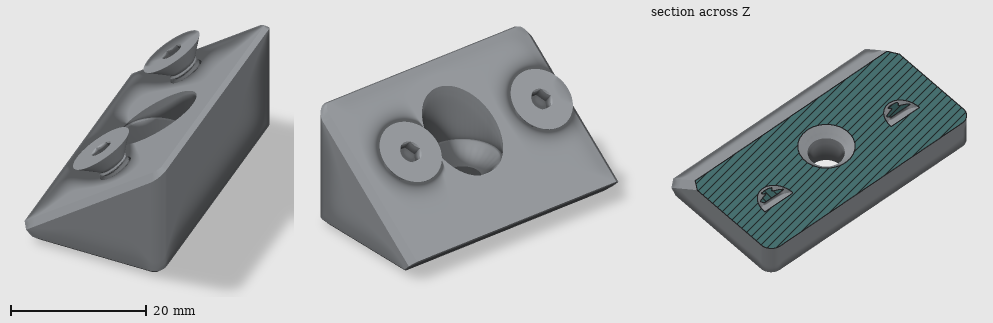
import cadquery as cq
import math

block_length = 40.0
block_depth = 22.7
block_height = 19.8
slope_angle = 38.0
edge_chamfer = 1.0
back_corner_radius = 2.0

slope_cos = math.cos(math.radians(slope_angle))
slope_sin = math.sin(math.radians(slope_angle))
slope_tan = slope_sin / slope_cos
sharp_top_height = block_height + edge_chamfer * slope_sin
nose_height = sharp_top_height - block_depth * slope_tan

clearance_diameter = 5.5
mount_x = 12.7
counterbore_diameter = 12.0
countersink_diameter = 11.2
counterbore_floor = 7.8

screw_spacing = 25.0
screw_x = 11.8
screw_standoff = 3.8
screw_length = 10.0
screw_hole_depth = 7.0
head_diameter = 10.0
head_rim = 0.05
thread_diameter = 5.0
core_diameter = 3.95
thread_pitch = 0.8
flank_angle = 30.0
crest_width = thread_pitch / 8
crest_depth = 2.95
shaft_top = 2.35
crest_radius = thread_diameter / 2
core_radius = core_diameter / 2
flank_steps = 8
socket_across_flats = 3.0
socket_depth = 2.0
socket_diameter = socket_across_flats / math.cos(math.radians(30))


def slope_plane(y):
    """Plane on the sloped face at a screw axis: local X uphill, local Z outward."""
    return cq.Plane(
        origin=(screw_x, y, nose_height + screw_x * slope_tan),
        xDir=(slope_cos, 0, slope_sin),
        normal=(-slope_sin, 0, slope_cos),
    )


def make_wedge():
    """Wedge with rounded back corners and chamfered sloped and bottom faces."""
    wedge = (
        cq.Workplane("XZ")
        .moveTo(nose_height, 0)
        .lineTo(block_depth, 0)
        .lineTo(block_depth, sharp_top_height)
        .lineTo(0, nose_height)
        .close()
        .extrude(block_length / 2, both=True)
    )
    wedge = wedge.edges("|Z").fillet(back_corner_radius)

    outward = cq.Vector(-slope_sin, 0, slope_cos)
    sloped_face = wedge.faces(cq.selectors.DirectionMinMaxSelector(outward, True))
    bottom_face = wedge.faces("<Z")
    chamfered_edges = [
        edge
        for edge in sloped_face.edges().vals() + bottom_face.edges().vals()
        if edge.Center().x > nose_height + edge_chamfer
    ]
    return wedge.newObject(chamfered_edges).chamfer(edge_chamfer)


def make_mount_hole():
    """Cutter for the vertical hole: clearance, 90 degree countersink, ledge, counterbore."""
    clearance_radius = clearance_diameter / 2
    countersink_radius = countersink_diameter / 2
    cone_bottom = counterbore_floor - (countersink_radius - clearance_radius)
    return (
        cq.Workplane("XZ")
        .lineTo(clearance_radius, 0)
        .lineTo(clearance_radius, cone_bottom)
        .lineTo(countersink_radius, counterbore_floor)
        .lineTo(counterbore_diameter / 2, counterbore_floor)
        .lineTo(counterbore_diameter / 2, block_height)
        .lineTo(0, block_height)
        .close()
        .revolve(360, (0, 0), (0, 1))
        .translate((mount_x, 0, 0))
    )


def flank_point(fraction):
    """Point on the upper flank in the shaft's cross-section, from crest (0) to root (1)."""
    radius = crest_radius + fraction * (core_radius - crest_radius)
    axial_offset = crest_width / 2 + (crest_radius - radius) * math.tan(math.radians(flank_angle))
    angle = 2 * math.pi * axial_offset / thread_pitch
    return radius * math.cos(angle), radius * math.sin(angle)


def make_shaft():
    """Shaft with a right-hand, 60 degree thread, made by twisting its cross-section along the axis."""
    upper_flank = [flank_point(step / flank_steps) for step in range(flank_steps + 1)]
    lower_flank = [(x, -y) for x, y in reversed(upper_flank)]
    length = screw_length - shaft_top
    bottom_angle = 360 * (crest_depth - screw_length) / thread_pitch
    return (
        cq.Workplane("XY")
        .moveTo(*upper_flank[0])
        .spline(upper_flank[1:], includeCurrent=True)
        .threePointArc((-core_radius, 0), lower_flank[0])
        .spline(lower_flank[1:], includeCurrent=True)
        .threePointArc((crest_radius, 0), upper_flank[0])
        .close()
        .twistExtrude(length, 360 * length / thread_pitch)
        .rotate((0, 0, 0), (0, 0, 1), bottom_angle)
        .translate((0, 0, -screw_length))
    )


def make_head():
    """Flat-topped 90 degree cone with a hexagon socket; its tip lies inside the shaft."""
    head_radius = head_diameter / 2
    head = (
        cq.Workplane("XZ")
        .lineTo(head_radius, 0)
        .lineTo(head_radius, -head_rim)
        .lineTo(0, -head_rim - head_radius)
        .close()
        .revolve(360, (0, 0), (0, 1))
    )
    socket = (
        cq.Workplane("XY")
        .transformed(rotate=(0, 0, 90))
        .polygon(6, socket_diameter)
        .extrude(-socket_depth)
    )
    lead_in_depth = socket_diameter / 2
    lead_in = cq.Solid.makeCone(0, socket_diameter / 2, lead_in_depth, pnt=cq.Vector(0, 0, -lead_in_depth))
    return head.cut(socket).cut(cq.Workplane(lead_in))


def make_screw():
    """Countersunk screw, head top at the origin and shaft along -Z."""
    return make_head().union(make_shaft())


screw_planes = [slope_plane(side * screw_spacing / 2) for side in (-1, 1)]

block = make_wedge().cut(make_mount_hole())
for plane in screw_planes:
    block = block.cut(cq.Workplane(plane).circle(clearance_diameter / 2).extrude(-screw_hole_depth))

screw = make_screw().translate((0, 0, screw_standoff)).solids().val()
screws = [screw.moved(cq.Location(plane)) for plane in screw_planes]

result = cq.Compound.makeCompound([block.solids().val(), *screws])